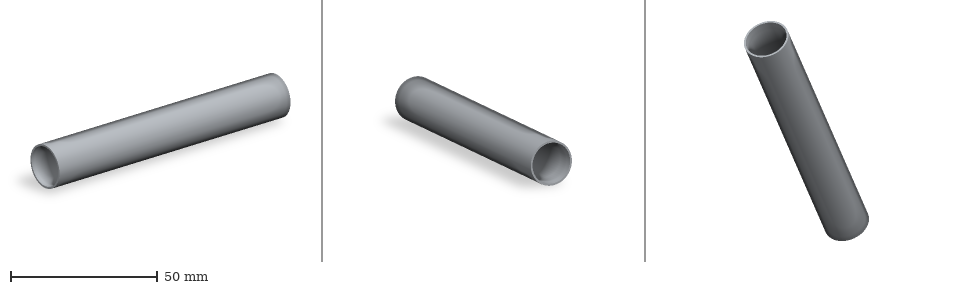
import cadquery as cq

length = 101.6
outer_diameter = 15.8
wall = 0.69

inner_diameter = outer_diameter - 2 * wall

result = (
    cq.Workplane("XZ", origin=(0, length / 2, 0))
    .circle(outer_diameter / 2)
    .circle(inner_diameter / 2)
    .extrude(length)
)